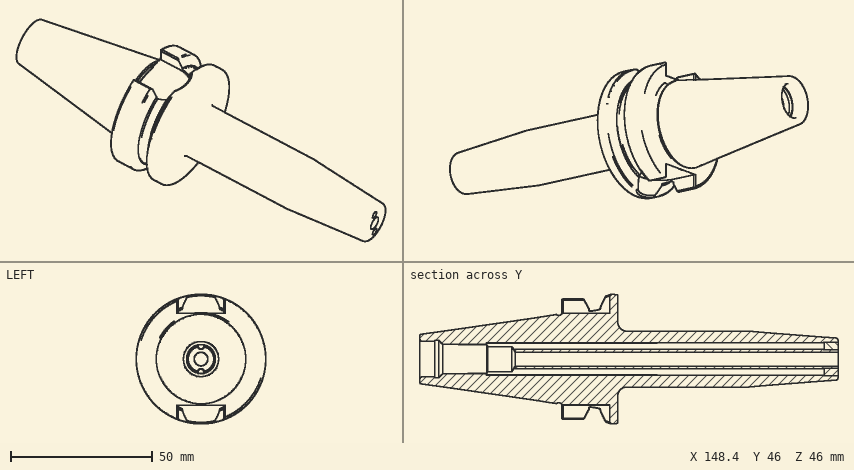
import cadquery as cq
import math

TOTAL_LENGTH = 148.4

GAUGE_X = 48.4
GAUGE_RADIUS = 15.9
TAPER_PER_LENGTH = 7 / 24
TAPER_END_RADIUS = GAUGE_RADIUS - GAUGE_X * TAPER_PER_LENGTH / 2
TAPER_END_FILLET = 0.5

NECK_RADIUS = 31.2 / 2
NECK_BEVEL = 0.6
NECK_FILLET = 0.9

FLANGE_START_X = 50.3
FLANGE_END_X = 70.3
FLANGE_RADIUS = 46 / 2
FLANGE_EDGE_FILLET = 0.7
GROOVE_CENTER_X = 62.0
GROOVE_FLOOR_WIDTH = 4.0
GROOVE_MOUTH_WIDTH = 8.0
GROOVE_FLOOR_RADIUS = 18.8
GROOVE_FLANK_ANGLE = 30.0
GROOVE_MOUTH_FILLET = 0.6
GROOVE_FLOOR_FILLET = 0.5

SLOT_WIDTH = 16.2
SLOT_FLOOR_Z = 16.3
SLOT_END_X = 67.4
SLOT_EDGE_CHAMFER = 0.6

SHANK_RADIUS = 20.0 / 2
SHANK_ROOT_FILLET = 3.0
TIP_START_X = 116.5
TIP_ANGLE = 4.5
TIP_EDGE_FILLET = 1.0

MOUTH_FILLET = 0.9
PILOT_RADIUS = 12.5 / 2
PILOT_END_X = 5.3
UNDERCUT_RADIUS = 13.0 / 2
UNDERCUT_END_X = 6.8
THREAD_RADIUS = 10.2 / 2
THREAD_END_X = 23.7
RELIEF_RADIUS = 9.0 / 2
RELIEF_END_X = 32.6
CORE_RADIUS = 4.7 / 2
DRILL_POINT_ANGLE = 118.0

CHANNEL_OFFSET = 4.6
CHANNEL_RADIUS = 2.1 / 2
PLUG_RADIUS = 2.5 / 2
PLUG_LENGTH = 5.0
PLUG_START_X = TOTAL_LENGTH - PLUG_LENGTH

SIDES = (1, -1)


def x_cylinder(radius, start_x, end_x, z=0.0):
    """Cylinder parallel to X between two X positions, at the given height."""
    return cq.Workplane("YZ", origin=(start_x, 0, z)).circle(radius).extrude(end_x - start_x)


def revolve_about_x(outline):
    """Revolve a closed outline drawn as (x, radius) about the X axis."""
    return outline.close().revolve(360, (0, 0, 0), (1, 0, 0))


def edges_in_box(center, size):
    """Selector for the edges whose centers lie in a box."""
    low = tuple(c - d / 2 for c, d in zip(center, size))
    high = tuple(c + d / 2 for c, d in zip(center, size))
    return cq.selectors.BoxSelector(low, high)


def taper_and_neck():
    body = revolve_about_x(
        cq.Workplane("XY")
        .moveTo(0, 0)
        .lineTo(0, TAPER_END_RADIUS)
        .lineTo(GAUGE_X, GAUGE_RADIUS)
        .lineTo(GAUGE_X + NECK_BEVEL, NECK_RADIUS)
        .lineTo(FLANGE_START_X - NECK_FILLET, NECK_RADIUS)
        .radiusArc((FLANGE_START_X, NECK_RADIUS + NECK_FILLET), -NECK_FILLET)
        .lineTo(FLANGE_START_X, 0)
    )
    return body.faces("<X").edges().fillet(TAPER_END_FILLET)


def drive_slot(side):
    """Slot open toward the taper, with a full-round end toward the tool."""
    half_width = SLOT_WIDTH / 2
    round_center_x = SLOT_END_X - half_width
    return (
        cq.Workplane("XY", origin=(0, 0, side * SLOT_FLOOR_Z))
        .moveTo(FLANGE_START_X, -half_width)
        .lineTo(round_center_x, -half_width)
        .threePointArc((SLOT_END_X, 0), (round_center_x, half_width))
        .lineTo(FLANGE_START_X, half_width)
        .close()
        .extrude(side * (FLANGE_RADIUS - SLOT_FLOOR_Z))
    )


def gripper_groove():
    """Ring-shaped cutter: a flat floor, short upright walls, flared flanks and a rounded mouth."""
    flank_angle = math.radians(GROOVE_FLANK_ANGLE)
    half_floor = GROOVE_FLOOR_WIDTH / 2
    half_mouth = GROOVE_MOUTH_WIDTH / 2
    flank_radius = FLANGE_RADIUS - (half_mouth - half_floor) / math.tan(flank_angle)
    rounding_length = GROOVE_MOUTH_FILLET * math.tan((math.pi / 2 - flank_angle) / 2)

    half_profile = (
        cq.Workplane("XY")
        .moveTo(0, GROOVE_FLOOR_RADIUS)
        .lineTo(half_floor - GROOVE_FLOOR_FILLET, GROOVE_FLOOR_RADIUS)
        .radiusArc((half_floor, GROOVE_FLOOR_RADIUS + GROOVE_FLOOR_FILLET), -GROOVE_FLOOR_FILLET)
        .lineTo(half_floor, flank_radius)
        .lineTo(
            half_mouth - rounding_length * math.sin(flank_angle),
            FLANGE_RADIUS - rounding_length * math.cos(flank_angle),
        )
        .radiusArc((half_mouth + rounding_length, FLANGE_RADIUS), GROOVE_MOUTH_FILLET)
        .lineTo(0, FLANGE_RADIUS)
    )
    half_groove = revolve_about_x(half_profile)
    groove = half_groove.union(half_groove.mirror("YZ"))
    return groove.translate((GROOVE_CENTER_X, 0, 0))


def flange():
    disc = x_cylinder(FLANGE_RADIUS, FLANGE_START_X, FLANGE_END_X)
    disc = disc.faces(">X").edges().fillet(FLANGE_EDGE_FILLET)
    for side in SIDES:
        disc = disc.cut(drive_slot(side))

    rim_center_x = (FLANGE_START_X + SLOT_END_X) / 2
    rim_size = (SLOT_END_X - FLANGE_START_X, FLANGE_RADIUS, FLANGE_RADIUS - SLOT_FLOOR_Z)
    slot_edges = disc.faces("<X").edges("|Z")
    for side in SIDES:
        rim_center = (rim_center_x, 0, side * FLANGE_RADIUS)
        slot_edges = slot_edges.add(disc.edges(edges_in_box(rim_center, rim_size)))
    disc = slot_edges.chamfer(SLOT_EDGE_CHAMFER)

    disc = disc.faces("<X").edges("%CIRCLE").fillet(FLANGE_EDGE_FILLET)
    return disc.cut(gripper_groove())


def shank_and_tip():
    tip_length = TOTAL_LENGTH - TIP_START_X
    tip_end_radius = SHANK_RADIUS - tip_length * math.tan(math.radians(TIP_ANGLE))
    shank = revolve_about_x(
        cq.Workplane("XY")
        .moveTo(FLANGE_END_X, 0)
        .lineTo(FLANGE_END_X, SHANK_RADIUS + SHANK_ROOT_FILLET)
        .radiusArc((FLANGE_END_X + SHANK_ROOT_FILLET, SHANK_RADIUS), -SHANK_ROOT_FILLET)
        .lineTo(TIP_START_X, SHANK_RADIUS)
        .lineTo(TOTAL_LENGTH, tip_end_radius)
        .lineTo(TOTAL_LENGTH, 0)
    )
    return shank.faces(">X").edges().fillet(TIP_EDGE_FILLET)


def stepped_bore():
    drill_slope = math.tan(math.radians(DRILL_POINT_ANGLE / 2))
    thread_start_x = UNDERCUT_END_X + UNDERCUT_RADIUS - THREAD_RADIUS
    return revolve_about_x(
        cq.Workplane("XY")
        .moveTo(0, 0)
        .lineTo(0, PILOT_RADIUS + MOUTH_FILLET)
        .radiusArc((MOUTH_FILLET, PILOT_RADIUS), -MOUTH_FILLET)
        .lineTo(PILOT_END_X, PILOT_RADIUS)
        .lineTo(PILOT_END_X, UNDERCUT_RADIUS)
        .lineTo(UNDERCUT_END_X, UNDERCUT_RADIUS)
        .lineTo(thread_start_x, THREAD_RADIUS)
        .lineTo(THREAD_END_X, THREAD_RADIUS)
        .lineTo(THREAD_END_X + (THREAD_RADIUS - RELIEF_RADIUS) / drill_slope, RELIEF_RADIUS)
        .lineTo(RELIEF_END_X, RELIEF_RADIUS)
        .lineTo(RELIEF_END_X + (RELIEF_RADIUS - CORE_RADIUS) / drill_slope, CORE_RADIUS)
        .lineTo(TOTAL_LENGTH, CORE_RADIUS)
        .lineTo(TOTAL_LENGTH, 0)
    )


def make_holder():
    holder = taper_and_neck().union(flange()).union(shank_and_tip()).cut(stepped_bore())
    for side in SIDES:
        height = side * CHANNEL_OFFSET
        holder = holder.cut(x_cylinder(CHANNEL_RADIUS, THREAD_END_X, PLUG_START_X, height))
        holder = holder.cut(x_cylinder(PLUG_RADIUS, PLUG_START_X, TOTAL_LENGTH, height))
    return holder


def make_plug(side):
    return x_cylinder(PLUG_RADIUS, PLUG_START_X, TOTAL_LENGTH, side * CHANNEL_OFFSET)


holder = make_holder()
plugs = [make_plug(side) for side in SIDES]
result = cq.Compound.makeCompound([holder.val(), *[plug.val() for plug in plugs]])